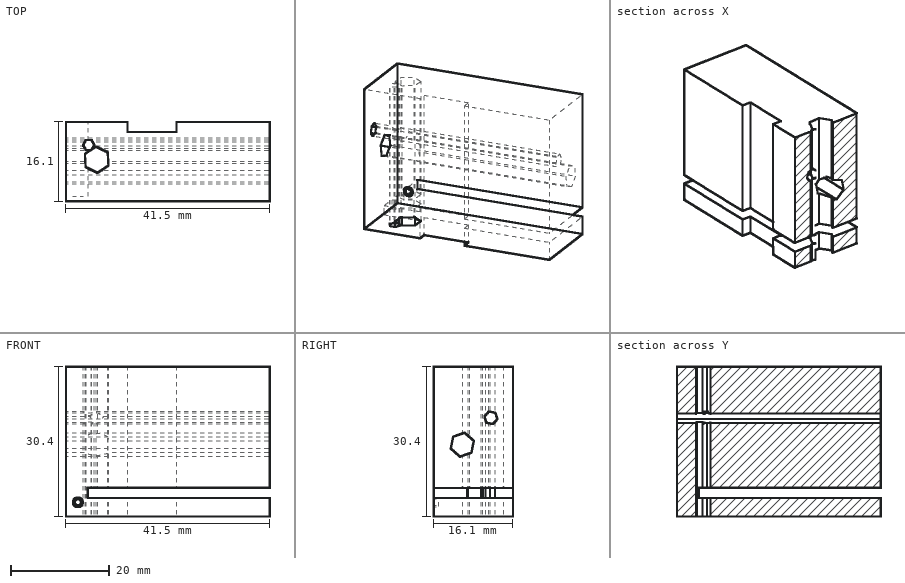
import cadquery as cq

LENGTH = 41.45
DEPTH = 16.1
HEIGHT = 30.4

SLOT_START_X = 4.48
SLOT_BOTTOM_Z = 3.8
CUT_SIZE = 2.0

CHANNEL_START_X = 12.5
CHANNEL_WIDTH = 9.9

VERTICAL_HOLES = [
    (4.65, 11.45, 1.1, 0),
    (6.25, 8.45, 2.65, 33.4),
]
LENGTHWISE_HOLES = [
    (11.6, 20.05, 1.33, 48),
    (5.8, 14.6, 2.45, 18.7),
]

PIN_X = 2.45
PIN_Z = 2.9
PIN_DIAMETER = 1.25
GROOVE_DIAMETER = 2.0
GROOVE_DEPTH = 1.0


def box_at(x, y, z, length, depth, height):
    """Box whose minimum corner is at (x, y, z)."""
    return cq.Workplane("XY").box(length, depth, height, centered=False).translate((x, y, z))


def hex_prism(plane, hole, length):
    """Hexagonal prism rising from the given plane."""
    first, second, corner_radius, turn = hole
    return (
        cq.Workplane(plane)
        .center(first, second)
        .transformed(rotate=(0, 0, turn))
        .polygon(6, 2 * corner_radius)
        .extrude(length)
    )


block = box_at(0, 0, 0, LENGTH, DEPTH, HEIGHT)
slot = box_at(SLOT_START_X, 0, SLOT_BOTTOM_Z, LENGTH - SLOT_START_X, DEPTH, CUT_SIZE)
channel = box_at(CHANNEL_START_X, DEPTH - CUT_SIZE, 0, CHANNEL_WIDTH, CUT_SIZE, HEIGHT)
result = block.cut(slot).cut(channel)

for hole in VERTICAL_HOLES:
    result = result.cut(hex_prism("XY", hole, HEIGHT))
for hole in LENGTHWISE_HOLES:
    result = result.cut(hex_prism("YZ", hole, LENGTH))

groove = (
    cq.Workplane("XZ")
    .center(PIN_X, PIN_Z)
    .circle(GROOVE_DIAMETER / 2)
    .circle(PIN_DIAMETER / 2)
    .extrude(-GROOVE_DEPTH)
)
result = result.cut(groove)